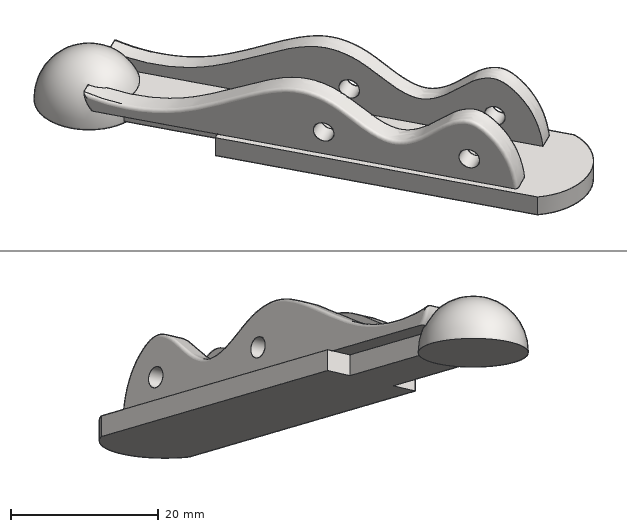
import cadquery as cq

total_length = 79.3
ball_diameter = 15.0
ball_radius = ball_diameter / 2
foot_height = 0.2

plate_bottom = foot_height
plate_thickness = 2.9
plate_top = plate_bottom + plate_thickness
plate_width = 16.0
shoulder_x = 28.2
round_end_x = 74.4

rib_outer_width = 14.2
rib_gap = 7.9
rib_thickness = (rib_outer_width - rib_gap) / 2
rib_edge_radius = 0.5
rib_tip = (9.0, 5.8)
rib_front_middle = (9.3, 4.4)
rib_front_foot_x = 10.0
rib_back_foot_x = 71.2
first_crest = (40.05, 12.8)
second_crest = (64.3, 12.8)
rib_crest_line = [
    rib_tip,
    (15.7, 4.9),
    (21.4, 5.6),
    (27.1, 7.8),
    (33.9, 11.1),
    first_crest,
    (44.35, 11.8),
    (49.2, 8.9),
    (53.7, 7.3),
    (57.75, 9.05),
    (61.55, 12.0),
    second_crest,
    (67.3, 11.3),
    (69.7, 8.2),
    (rib_back_foot_x, plate_top),
]

hole_diameter = 2.9
hole_height = 6.75
hole_positions = [(43.5, hole_height), (second_crest[0], hole_height)]


def make_ball():
    """Half ball standing on a thin disc of the same diameter."""
    profile = (
        cq.Workplane("XZ")
        .lineTo(ball_radius, 0)
        .lineTo(ball_radius, foot_height)
        .radiusArc((0, foot_height + ball_radius), -ball_radius)
        .close()
    )
    return profile.revolve(360, (0, 0), (0, 1)).translate((ball_radius, 0, 0))


def make_base():
    """Narrow neck leading from the ball to a wide plate with a rounded end."""
    half_width = plate_width / 2
    half_neck = rib_gap / 2
    return (
        cq.Workplane("XY", origin=(0, 0, plate_bottom))
        .moveTo(ball_radius, -half_neck)
        .lineTo(shoulder_x, -half_neck)
        .lineTo(shoulder_x, -half_width)
        .lineTo(round_end_x, -half_width)
        .threePointArc((total_length, 0), (round_end_x, half_width))
        .lineTo(shoulder_x, half_width)
        .lineTo(shoulder_x, half_neck)
        .lineTo(ball_radius, half_neck)
        .close()
        .extrude(plate_thickness)
    )


def make_front_rib():
    """Wavy rib on the -Y side, with its outer edge rounded except along the foot."""
    rib = (
        cq.Workplane("XZ", origin=(0, -rib_gap / 2, 0))
        .moveTo(rib_front_foot_x, plate_top)
        .threePointArc(rib_front_middle, rib_tip)
        .spline(rib_crest_line[1:], includeCurrent=True)
        .close()
        .extrude(rib_thickness)
    )
    outer_edges = rib.faces("<Y").edges()
    rounded_edges = outer_edges.filter(lambda edge: edge.Center().z > plate_top + rib_edge_radius)
    return rounded_edges.fillet(rib_edge_radius)


front_rib = make_front_rib()
back_rib = front_rib.mirror("XZ")
hole_cutter = (
    cq.Workplane("XZ")
    .pushPoints(hole_positions)
    .circle(hole_diameter / 2)
    .extrude(plate_width / 2, both=True)
)

ribs = front_rib.union(back_rib).cut(hole_cutter)
result = make_base().union(ribs).union(make_ball())